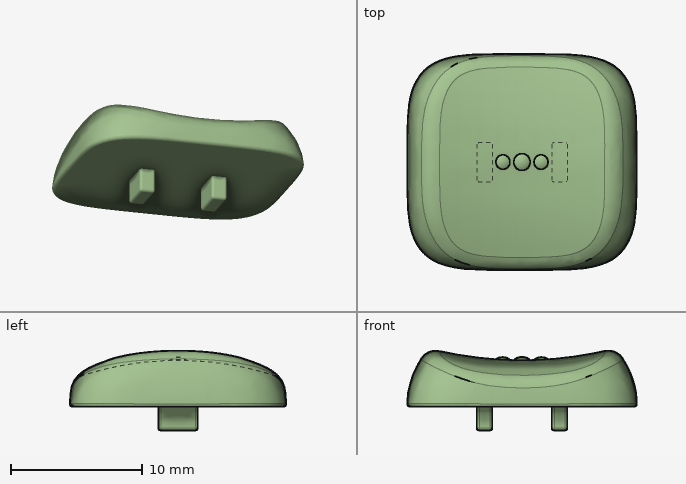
import cadquery as cq
import math

BASE_LENGTH_X = 17.47
BASE_WIDTH_Y = 16.47
BASE_SQUARENESS = 4.3
SQUARENESS_LOSS = 0.33
WIDEST_HEIGHT = 0.28
WALL_LEAN = 0.094
LOFT_TOP = 5.1
SECTION_COUNT = 6
OUTLINE_POINTS = 32
BASE_FILLET = 0.25

TOP_CENTRE_Z = 3.55
DISH_RADIUS = 28.5
CROWN_RADIUS = 23.5
TOP_FILLET = 1.3
SADDLE_HALF_LENGTH = 10.0

BUMP_SPACING = 1.48
CENTRE_BUMP_RADIUS = 0.63
CENTRE_BUMP_HEIGHT = 0.25
SIDE_BUMP_RADIUS = 0.54
SIDE_BUMP_HEIGHT = 0.2

LEG_SPACING = 5.7
LEG_THICKNESS_X = 1.2
LEG_WIDTH_Y = 3.0
LEG_DEPTH = 1.8
LEG_FILLET = 0.2
LEG_OVERLAP = 1.0


def outline_points(half_x, half_y, squareness):
    """Points of a superellipse, evenly spaced in polar angle."""
    points = []
    for i in range(OUTLINE_POINTS):
        angle = 2 * math.pi * i / OUTLINE_POINTS
        x_part = abs(math.cos(angle) / half_x) ** squareness
        y_part = abs(math.sin(angle) / half_y) ** squareness
        radius = (x_part + y_part) ** (-1 / squareness)
        points.append((radius * math.cos(angle), radius * math.sin(angle)))
    return points


def outline_wire(z):
    """Closed outline of the side wall at height z."""
    inset = WALL_LEAN * (z - WIDEST_HEIGHT) ** 2
    points = outline_points(
        BASE_LENGTH_X / 2 - inset,
        BASE_WIDTH_Y / 2 - inset,
        BASE_SQUARENESS - SQUARENESS_LOSS * z,
    )
    edge = cq.Edge.makeSpline([cq.Vector(x, y, z) for x, y in points], periodic=True)
    return cq.Wire.assembleEdges([edge])


def side_blank():
    """Loft of superellipse outlines that shrink and soften with height."""
    step = LOFT_TOP / (SECTION_COUNT - 1)
    wires = [outline_wire(i * step) for i in range(SECTION_COUNT)]
    return cq.Workplane(cq.Solid.makeLoft(wires))


def dish_height(x):
    """Height of the top surface on the X axis."""
    return TOP_CENTRE_Z + DISH_RADIUS - math.sqrt(DISH_RADIUS ** 2 - x ** 2)


def saddle():
    """Spool with a hollow rim, turned about an axis parallel to X."""
    axis_z = TOP_CENTRE_Z - CROWN_RADIUS
    end_z = dish_height(SADDLE_HALF_LENGTH)
    return (
        cq.Workplane("XZ")
        .moveTo(-SADDLE_HALF_LENGTH, axis_z)
        .lineTo(-SADDLE_HALF_LENGTH, end_z)
        .threePointArc((0, TOP_CENTRE_Z), (SADDLE_HALF_LENGTH, end_z))
        .lineTo(SADDLE_HALF_LENGTH, axis_z)
        .close()
        .revolve(360, (0, axis_z, 0), (1, axis_z, 0))
    )


def body():
    trimmed = side_blank().intersect(saddle())
    rounded = trimmed.faces("<Z").edges().fillet(BASE_FILLET)
    top_face = max(rounded.faces().vals(), key=lambda face: face.Center().z)
    return rounded.newObject(top_face.Edges()).fillet(TOP_FILLET)


def bump(x, base_radius, height):
    """Sphere sunk into the top so that only a cap stands out."""
    radius = (base_radius ** 2 + height ** 2) / (2 * height)
    return cq.Workplane("XY").sphere(radius).translate((x, 0, dish_height(x) + height - radius))


def leg(x):
    height = LEG_DEPTH + LEG_OVERLAP
    return (
        cq.Workplane("XY")
        .box(LEG_THICKNESS_X, LEG_WIDTH_Y, height, centered=(True, True, False))
        .edges("|Z or <Z")
        .fillet(LEG_FILLET)
        .translate((x, 0, -LEG_DEPTH))
    )


result = body()
result = result.union(bump(0, CENTRE_BUMP_RADIUS, CENTRE_BUMP_HEIGHT))
for side in (-1, 1):
    result = result.union(bump(side * BUMP_SPACING, SIDE_BUMP_RADIUS, SIDE_BUMP_HEIGHT))
    result = result.union(leg(side * LEG_SPACING / 2))